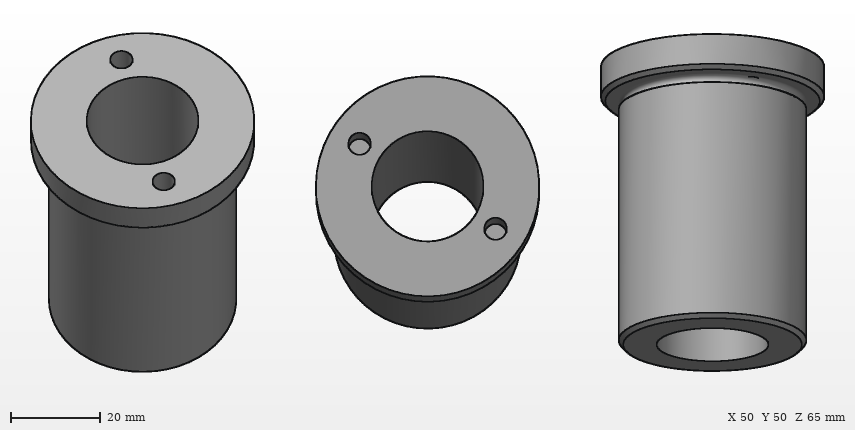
import cadquery as cq

total_height = 65.0
flange_diameter = 50.0
flange_thickness = 8.0
body_diameter = 42.0
bore_diameter = 25.0
edge_chamfer = 1.0
groove_radius = 1.0
pin_hole_diameter = 5.0
pin_hole_spacing = 36.0
pin_hole_depth = 8.0

flange_radius = flange_diameter / 2
body_radius = body_diameter / 2
bore_radius = bore_diameter / 2
flange_underside = total_height - flange_thickness
groove_center = flange_underside - groove_radius
groove_bottom = groove_center - groove_radius
groove_floor_radius = body_radius - groove_radius
pin_hole_offset = pin_hole_spacing / 2
pin_hole_floor = total_height - pin_hole_depth


def make_flanged_sleeve():
    """Revolve the half section: chamfered body, round relief groove, flange and bore."""
    half_section = (
        cq.Workplane("XZ")
        .moveTo(bore_radius, 0)
        .lineTo(body_radius - edge_chamfer, 0)
        .lineTo(body_radius, edge_chamfer)
        .lineTo(body_radius, groove_bottom)
        .radiusArc((groove_floor_radius, groove_center), groove_radius)
        .radiusArc((body_radius, flange_underside), groove_radius)
        .lineTo(flange_radius - edge_chamfer, flange_underside)
        .lineTo(flange_radius, flange_underside + edge_chamfer)
        .lineTo(flange_radius, total_height)
        .lineTo(bore_radius, total_height)
        .close()
    )
    return half_section.revolve(360, (0, 0, 0), (0, 1, 0))


def cut_pin_holes(sleeve):
    """Cut the two blind pin holes into the flange face, one on each side of the bore."""
    for side in (-1, 1):
        hole = (
            cq.Workplane("XY", origin=(side * pin_hole_offset, 0, pin_hole_floor))
            .circle(pin_hole_diameter / 2)
            .extrude(pin_hole_depth)
        )
        sleeve = sleeve.cut(hole)
    return sleeve


result = cut_pin_holes(make_flanged_sleeve())